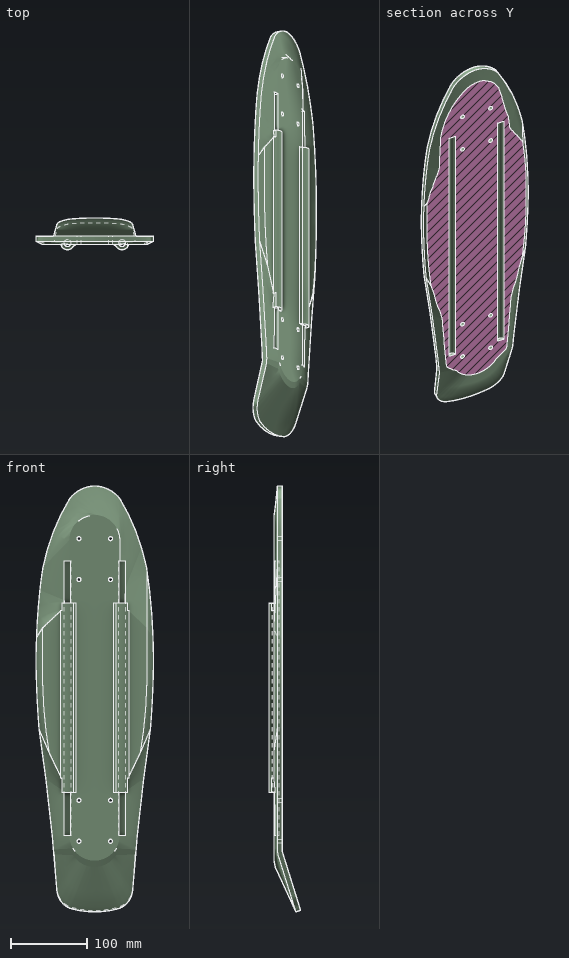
import cadquery as cq
import math


RIM_DEPTH = 6.5
KEEL_DEPTH = 11.0
RAIL_DEPTH = 18.0

TAIL_ANGLE = math.radians(17.3)
BEND_Z = 78.0
BEND_HALF_LENGTH = 3.5
BEND_TOP_Z = BEND_Z + RIM_DEPTH * math.tan(TAIL_ANGLE / 2)

KEEL_RADIUS = 33.0
KEEL_BOTTOM_Z = 67.0
KEEL_TOP_Z = 520.0
KEEL_LOW_CENTER_Z = KEEL_BOTTOM_Z + KEEL_RADIUS
KEEL_HIGH_CENTER_Z = KEEL_TOP_Z - KEEL_RADIUS
KEEL_SIDE_BOTTOM = (KEEL_RADIUS, KEEL_LOW_CENTER_Z)
KEEL_SIDE_TOP = (KEEL_RADIUS, KEEL_HIGH_CENTER_Z)
KEEL_BEND_DROP = 8.5
KEEL_BEND_LIFT = 1.5
BEND_ANGLE = 59
FIRST_NOSE_CREASE = 9
SECOND_NOSE_CREASE = 36
CORNER_CREASE_ANGLE = 42
TIP_CREASE_ANGLE = 18

PAD_INNER_TOP = (KEEL_RADIUS, 405.5)
PAD_OUTER_TOP = (68.0, 372.5)
PAD_CURVE_START = (68.0, 297.5)
PAD_CURVE_MIDDLE = (66.0, 257.0)
PAD_CURVE_END = (60.0, 209.0)
PAD_INNER_BOTTOM = (KEEL_RADIUS, 153.0)
PAD_SKIRT_TOP = (62.5, PAD_OUTER_TOP[1])
PAD_SKIRT_ANGLE = 20

NOSE_TOP = (0, 559)
NOSE_MIDDLE = (18.0, 554.5)
NOSE_END = (33.0, 542.0)
SIDE_UPPER_MIDDLE = (47.5, 514.5)
SIDE_MIDDLE = (53.0, 502.0)
SIDE_SPLIT = (61.5, 477.0)
SIDE_LOWER_MIDDLE = (65.0, 465.0)
SHOULDER = (68.0, 451.0)
SHOULDER_UPPER_MIDDLE = (70.5, 436.0)
SHOULDER_SPLIT = (72.0, 422.0)
SHOULDER_MIDDLE = (74.0, 405.0)
SHOULDER_LOWER_MIDDLE = (75.0, 391.0)
WAIST_TOP = (76.5, 359.5)
SIDE_ARC = (NOSE_END, SIDE_MIDDLE, SHOULDER)
SHOULDER_ARC = (SHOULDER, SHOULDER_MIDDLE, WAIST_TOP)
WAIST_WIDEST = (77.0, 335.5)
WAIST_BOTTOM = (76.5, 299.5)
HIP_MIDDLE = (75.5, 274.0)
HIP = (73.0, 240.5)
FLANK = (64.0, 174.5)
KEEL_END_FLANK = (56.0, KEEL_LOW_CENTER_Z)
BEND_HIGH = (54.0, BEND_Z + BEND_HALF_LENGTH)
BEND_LOW = (53.0, BEND_Z - BEND_HALF_LENGTH)
TAIL_CORNER = (50.0, 27.5)
TAIL_CORNER_MIDDLE = (44.5, 14.5)
TAIL_CORNER_END = (32.0, 4.5)
TAIL_TIP = (0, 0)

RAIL_X = 36.0
RAIL_BOTTOM_Z = 156.5
RAIL_TOP_Z = 405.0
RAIL_RADIUS = 9.0
RAIL_CENTER_DEPTH = RAIL_DEPTH - RAIL_RADIUS
RAIL_INNER_CREASE = 8.0
RAIL_INNER_FOOT = 11.0
RAIL_OUTER_CREASE = 7.0
RAIL_OUTER_FOOT = 9.0
OUTER_FOOT_BOTTOM_Z = 176.0
OUTER_FOOT_TOP_Z = 395.5
RAIL_ROOT_DEPTH = 8.5
GROOVE_RADIUS = 4.5
GROOVE_BOTTOM_Z = 100.5
GROOVE_TOP_Z = 460.5

HOLE_DIAMETER = 5.0
HOLE_X = 20.5
HOLE_ROWS_Z = (93.0, 146.5, 436.0, 489.5)


def hinge_point(side):
    """End of the line where the top face bends into the tail."""
    return top_point((side * BEND_HIGH[0], BEND_TOP_Z))


def keel_point(point):
    return cq.Vector(point[0], -KEEL_DEPTH, point[1])


def keel_arc_point(angle):
    """Point on the keel's lower round end; the angle is from its lowest point, in degrees."""
    turn = math.radians(angle)
    x = KEEL_RADIUS * math.sin(turn)
    z = KEEL_LOW_CENTER_Z - KEEL_RADIUS * math.cos(turn)
    return keel_point((x, z))


def bevel_arc_point(angle):
    return keel_arc_point(angle) + cq.Vector(0, KEEL_BEND_LIFT, -KEEL_BEND_DROP)


def rim_point(point):
    return cq.Vector(point[0], -RIM_DEPTH, point[1])


def tail_rim_point(point):
    return cq.Vector(point[0], -RIM_DEPTH + (BEND_Z - point[1]) * math.tan(TAIL_ANGLE), point[1])


def top_point(point):
    return cq.Vector(point[0], 0, point[1])


def tail_top_point(point):
    rise = cq.Vector(0, RIM_DEPTH * math.cos(TAIL_ANGLE), RIM_DEPTH * math.sin(TAIL_ANGLE))
    return tail_rim_point(point) + rise


def mirrored(point, side):
    return (side * point[0], point[1])


def edge_through(points):
    """Straight edge through two points, or an arc through three."""
    if len(points) == 2:
        return cq.Edge.makeLine(*points)
    return cq.Edge.makeThreePointArc(*points)


def keel_top_arc(start, end):
    """Three points on the keel's upper round end; angles are from its highest point, in degrees."""
    turns = [math.radians(angle) for angle in (start, (start + end) / 2, end)]
    return [
        keel_point((KEEL_RADIUS * math.sin(turn), KEEL_HIGH_CENTER_Z + KEEL_RADIUS * math.cos(turn)))
        for turn in turns
    ]


def polygon_face(*points):
    return cq.Face.makeFromWires(cq.Wire.makePolygon(points, close=True))


def planar_face(edges):
    return cq.Face.makeFromWires(cq.Wire.combine(edges)[0])



def make_span(rim_points, inner_points, top_points):
    return [edge_through(points) for points in (rim_points, inner_points, top_points)]


def straight_span(outline, inner_points):
    return make_span([rim_point(p) for p in outline], inner_points, [top_point(p) for p in outline])


def tail_span(outline, angles):
    return make_span(
        [tail_rim_point(p) for p in outline],
        [bevel_arc_point(angle) for angle in angles],
        [tail_top_point(p) for p in outline],
    )


def nose_spans():
    """Spans round the nose, except the +X side; the creases of the slope swing toward +X."""
    left_side = [mirrored(p, -1) for p in reversed(SIDE_ARC)]
    left_nose = [mirrored(p, -1) for p in (NOSE_END, NOSE_MIDDLE, NOSE_TOP)]
    right_nose = (NOSE_TOP, NOSE_MIDDLE, NOSE_END)
    return [
        straight_span(left_side, keel_top_arc(-90, FIRST_NOSE_CREASE)),
        straight_span(left_nose, keel_top_arc(FIRST_NOSE_CREASE, SECOND_NOSE_CREASE)),
        straight_span(right_nose, keel_top_arc(SECOND_NOSE_CREASE, 90)),
    ]


def side_spans(side):
    """Spans of one side (+1 or -1 along X), from the waist down to the tail bend."""
    pairs = [
        ((WAIST_TOP, WAIST_WIDEST, WAIST_BOTTOM), (PAD_OUTER_TOP, PAD_CURVE_START)),
        ((WAIST_BOTTOM, HIP_MIDDLE, HIP), (PAD_CURVE_START, PAD_CURVE_MIDDLE, PAD_CURVE_END)),
        ((HIP, FLANK), (PAD_CURVE_END, PAD_INNER_BOTTOM)),
        ((FLANK, KEEL_END_FLANK), (PAD_INNER_BOTTOM, KEEL_SIDE_BOTTOM)),
    ]
    spans = [
        straight_span([mirrored(p, side) for p in outline], [keel_point(mirrored(p, side)) for p in inner])
        for outline, inner in pairs
    ]
    last = [mirrored(p, side) for p in (KEEL_END_FLANK, BEND_HIGH)]
    arc_angles = (90, (90 + BEND_ANGLE) / 2, BEND_ANGLE)
    spans.append(
        make_span(
            [rim_point(p) for p in last],
            [keel_arc_point(side * angle) for angle in arc_angles],
            [top_point(last[0]), hinge_point(side)],
        )
    )
    return spans


def left_shoulder_spans():
    """The -X slope turns round the corner where the keel meets the pad."""
    upper = [mirrored(p, -1) for p in (SHOULDER, SHOULDER_UPPER_MIDDLE, SHOULDER_SPLIT)]
    lower = [mirrored(p, -1) for p in (SHOULDER_SPLIT, SHOULDER_LOWER_MIDDLE, WAIST_TOP)]
    keel_top, pad_inner, pad_outer = [
        keel_point(mirrored(p, -1)) for p in (KEEL_SIDE_TOP, PAD_INNER_TOP, PAD_OUTER_TOP)
    ]
    return [straight_span(upper, [keel_top, pad_inner]), straight_span(lower, [pad_inner, pad_outer])]


def right_shoulder_spans():
    """The +X slope turns higher up, and a crease runs straight down from the shoulder to the pad."""
    upper = (NOSE_END, SIDE_UPPER_MIDDLE, SIDE_SPLIT)
    lower = (SIDE_SPLIT, SIDE_LOWER_MIDDLE, SHOULDER)
    keel_top, pad_inner, pad_outer = [keel_point(p) for p in (KEEL_SIDE_TOP, PAD_INNER_TOP, PAD_OUTER_TOP)]
    return [straight_span(upper, [keel_top, pad_inner]), straight_span(lower, [pad_inner, pad_outer])]


def tail_spans(side):
    """Spans of one side of the tail, from the bend round to the corner."""
    flank = [mirrored(p, side) for p in (BEND_LOW, TAIL_CORNER)]
    corner = [mirrored(p, side) for p in (TAIL_CORNER, TAIL_CORNER_MIDDLE, TAIL_CORNER_END)]
    flank_angles = (BEND_ANGLE, (BEND_ANGLE + CORNER_CREASE_ANGLE) / 2, CORNER_CREASE_ANGLE)
    corner_angles = (CORNER_CREASE_ANGLE, (CORNER_CREASE_ANGLE + TIP_CREASE_ANGLE) / 2, TIP_CREASE_ANGLE)
    return [
        make_span(
            [tail_rim_point(p) for p in flank],
            [bevel_arc_point(side * angle) for angle in flank_angles],
            [hinge_point(side), tail_top_point(flank[1])],
        ),
        tail_span(corner, [side * angle for angle in corner_angles]),
    ]


def tip_span():
    tip_arc = (mirrored(TAIL_CORNER_END, -1), TAIL_TIP, TAIL_CORNER_END)
    return tail_span(tip_arc, (-TIP_CREASE_ANGLE, 0, TIP_CREASE_ANGLE))


def bend_strip_faces(side):
    """The strip that runs across one side of the rim at the tail bend."""
    high = rim_point(mirrored(BEND_HIGH, side))
    low = tail_rim_point(mirrored(BEND_LOW, side))
    upper_edge = edge_through([high, keel_arc_point(side * BEND_ANGLE)])
    lower_edge = edge_through([low, bevel_arc_point(side * BEND_ANGLE)])
    return [cq.Face.makeRuledSurface(upper_edge, lower_edge), polygon_face(hinge_point(side), high, low)]


def make_deck():
    straight = nose_spans() + left_shoulder_spans() + right_shoulder_spans() + side_spans(1) + side_spans(-1)
    tail = tail_spans(1) + tail_spans(-1) + [tip_span()]
    faces = []
    for rim, inner, top in straight + tail:
        faces.append(cq.Face.makeRuledSurface(rim, inner))
        faces.append(cq.Face.makeRuledSurface(rim, top))
    for side in (1, -1):
        faces.extend(bend_strip_faces(side))

    shoulder_rim = edge_through([rim_point(p) for p in SHOULDER_ARC])
    shoulder_top = edge_through([top_point(p) for p in SHOULDER_ARC])
    shoulder_crease = edge_through([rim_point(SHOULDER), keel_point(PAD_OUTER_TOP)])
    faces.append(cq.Face.makeRuledSurface(shoulder_rim, shoulder_crease))
    faces.append(cq.Face.makeRuledSurface(shoulder_rim, shoulder_top))

    keel_end = edge_through([keel_arc_point(angle) for angle in (-BEND_ANGLE, 0, BEND_ANGLE)])
    bevel_end = edge_through([bevel_arc_point(angle) for angle in (-BEND_ANGLE, 0, BEND_ANGLE)])
    faces.append(cq.Face.makeRuledSurface(keel_end, bevel_end))

    hinge = edge_through([hinge_point(-1), hinge_point(1)])
    underside = [inner for rim, inner, top in straight] + [keel_end]
    faces.append(planar_face(underside))
    top_face = [top for rim, inner, top in straight] + [shoulder_top, hinge]
    faces.append(planar_face(top_face))
    faces.append(planar_face([top for rim, inner, top in tail] + [hinge]))
    return cq.Workplane(cq.Solid.makeSolid(cq.Shell.makeShell(faces)))


def plane_at_depth(depth):
    """Work plane parallel to the top face, with local x = X, local y = Z and its normal along -Y."""
    return cq.Workplane("XZ").workplane(offset=depth)


def make_pad_skirts():
    """Steep skirts round the outer borders of the pads, kept inside the deck outline."""
    height = KEEL_DEPTH - RIM_DEPTH
    right_pad = (
        plane_at_depth(KEEL_DEPTH)
        .moveTo(KEEL_RADIUS, PAD_SKIRT_TOP[1])
        .lineTo(*PAD_SKIRT_TOP)
        .lineTo(*PAD_CURVE_START)
        .threePointArc(PAD_CURVE_MIDDLE, PAD_CURVE_END)
        .lineTo(*PAD_INNER_BOTTOM)
        .close()
        .extrude(-height, taper=PAD_SKIRT_ANGLE - 90)
    )
    outline = (
        plane_at_depth(0)
        .moveTo(*SHOULDER)
        .threePointArc(*SHOULDER_ARC[1:])
        .threePointArc(WAIST_WIDEST, WAIST_BOTTOM)
        .threePointArc(HIP_MIDDLE, HIP)
        .lineTo(*FLANK)
        .lineTo(0, FLANK[1])
        .lineTo(0, SHOULDER[1])
        .close()
        .extrude(KEEL_DEPTH)
    )
    right_skirt = right_pad.intersect(outline)
    return right_skirt.union(right_skirt.mirror("YZ"))


def rail_bar(points_before_crown, points_after_crown, bottom_z, top_z):
    """Bar along Z on the +X side; its section has the round crown between two runs of points."""
    crown = (RAIL_X, -RAIL_DEPTH)
    return (
        cq.Workplane("XY", origin=(0, 0, bottom_z))
        .polyline(points_before_crown)
        .threePointArc(crown, points_after_crown[0])
        .polyline(points_after_crown[1:], includeCurrent=True)
        .close()
        .extrude(top_z - bottom_z)
    )


def crown_point(offset):
    """Point on the rail's round crown, offset along X from the rail's axis."""
    return (RAIL_X + offset, -RAIL_CENTER_DEPTH - math.sqrt(RAIL_RADIUS**2 - offset**2))


def make_rails():
    """Rails with a sloping inner foot all along and an outer foot beside the pads only."""
    inner_foot_x = RAIL_X - RAIL_INNER_FOOT
    inner_side = [
        (inner_foot_x, -RAIL_ROOT_DEPTH),
        (inner_foot_x, -KEEL_DEPTH),
        crown_point(-RAIL_INNER_CREASE),
    ]
    outer_crease = crown_point(RAIL_OUTER_CREASE)
    outer_wall = [outer_crease, (outer_crease[0], -RAIL_ROOT_DEPTH)]
    outer_foot_x = RAIL_X + RAIL_OUTER_FOOT
    outer_foot = [outer_crease, (outer_foot_x, -KEEL_DEPTH), (outer_foot_x, -RAIL_ROOT_DEPTH)]
    plain_bar = rail_bar(inner_side, outer_wall, RAIL_BOTTOM_Z, RAIL_TOP_Z)
    footed_bar = rail_bar(inner_side, outer_foot, OUTER_FOOT_BOTTOM_Z, OUTER_FOOT_TOP_Z)
    right_rail = plain_bar.union(footed_bar)
    return right_rail.union(right_rail.mirror("YZ"))


def make_grooves():
    return (
        cq.Workplane("XY", origin=(0, -RAIL_CENTER_DEPTH, GROOVE_BOTTOM_Z))
        .pushPoints([(-RAIL_X, 0), (RAIL_X, 0)])
        .circle(GROOVE_RADIUS)
        .extrude(GROOVE_TOP_Z - GROOVE_BOTTOM_Z)
    )


def make_mounting_holes():
    centers = [(x, z) for z in HOLE_ROWS_Z for x in (-HOLE_X, HOLE_X)]
    return plane_at_depth(0).pushPoints(centers).circle(HOLE_DIAMETER / 2).extrude(KEEL_DEPTH)


result = (
    make_deck()
    .union(make_pad_skirts())
    .union(make_rails())
    .cut(make_grooves())
    .cut(make_mounting_holes())
)